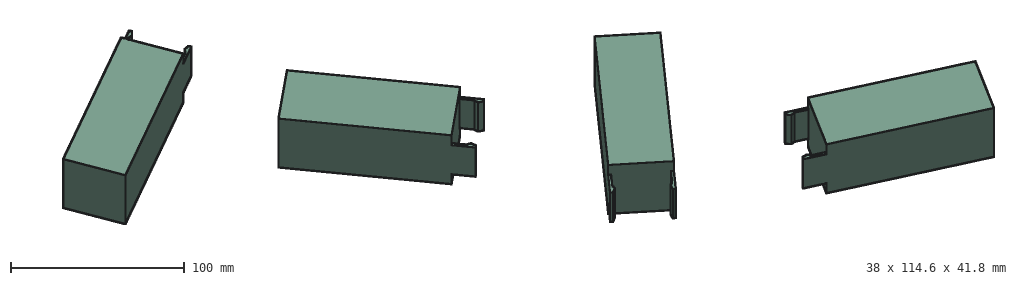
import cadquery as cq

width = 38.0
overall_length = 114.6
height = 41.8

arm_length = 14.0
arm_thickness = 1.7
arm_height = 25.0

catch_length = 5.5
catch_peak_from_tip = 3.2
catch_depth = 1.3

body_length = overall_length - arm_length
back_y = overall_length / 2
body_back_y = back_y - arm_length


def make_body():
    """Solid rectangular block, centred in X and Z."""
    return cq.Workplane("XY").box(width, body_length, height).translate((0, -arm_length / 2, 0))


def make_left_arm():
    """Flat arm flush with the -X side, ending in an inward catch."""
    outer_x = -width / 2
    inner_x = outer_x + arm_thickness
    return (
        cq.Workplane("XY")
        .workplane(offset=-arm_height / 2)
        .moveTo(outer_x, body_back_y)
        .lineTo(inner_x, body_back_y)
        .lineTo(inner_x, back_y - catch_length)
        .lineTo(inner_x + catch_depth, back_y - catch_peak_from_tip)
        .lineTo(inner_x, back_y)
        .lineTo(outer_x, back_y)
        .close()
        .extrude(arm_height)
    )


left_arm = make_left_arm()
right_arm = left_arm.mirror("YZ")
result = make_body().union(left_arm).union(right_arm)